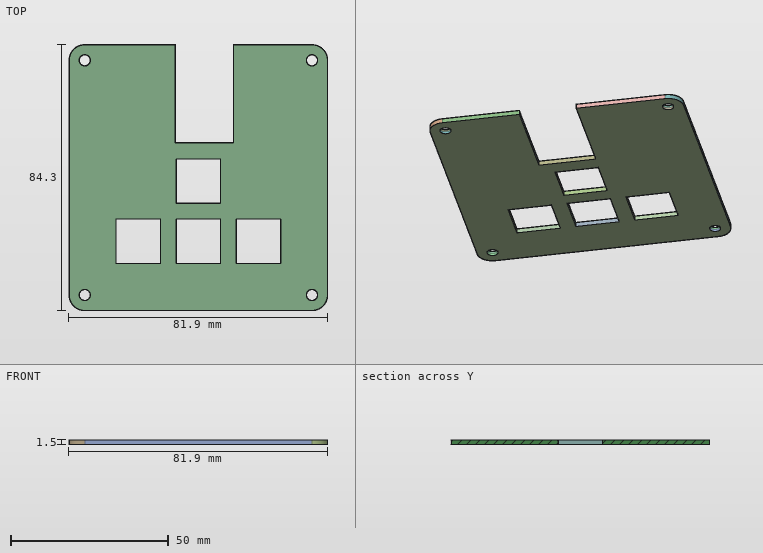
import cadquery as cq

width = 81.9
length = 84.3
thickness = 1.5
corner_radius = 5.0

hole_diameter = 3.45

key_size = 14.0
key_pitch = 19.05
key_row_y = -20.15

slot_left = -7.25
slot_width = 18.4
slot_depth = 31.0

plate = (
    cq.Workplane("XY")
    .box(width, length, thickness)
    .edges("|Z")
    .fillet(corner_radius)
)

mounting_holes = (
    cq.Workplane("XY")
    .rect(width - 2 * corner_radius, length - 2 * corner_radius, forConstruction=True)
    .vertices()
    .circle(hole_diameter / 2)
    .extrude(thickness, both=True)
)

key_centers = [(column * key_pitch, key_row_y) for column in (-1, 0, 1)]
key_centers.append((0, key_row_y + key_pitch))
key_openings = (
    cq.Workplane("XY")
    .pushPoints(key_centers)
    .rect(key_size, key_size)
    .extrude(thickness, both=True)
)

slot = (
    cq.Workplane("XY")
    .center(slot_left + slot_width / 2, (length - slot_depth) / 2)
    .rect(slot_width, slot_depth)
    .extrude(thickness, both=True)
)

result = plate.cut(mounting_holes).cut(key_openings).cut(slot)